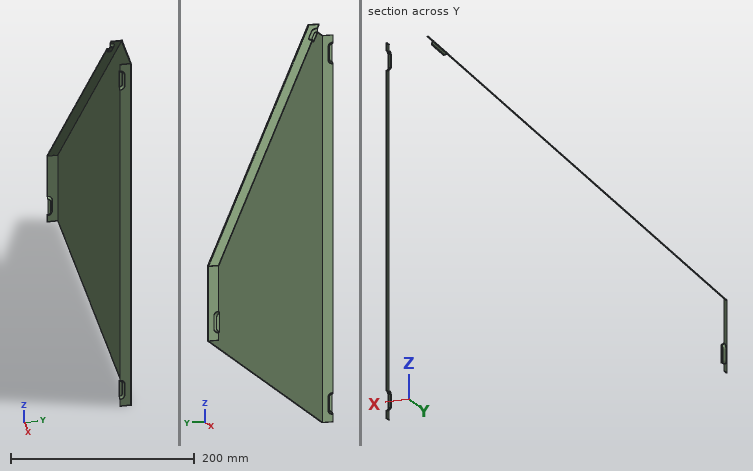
import cadquery as cq
import math

width = 400.0
height = 434.5
depth = 12.5
sheet = 1.0

left_edge_height = 84.0
slope_run = height - left_edge_height
slope_length = slope_run * math.sqrt(2)
top_edge_drop = 1.5

dimple_length = 24.5
dimple_reach = 5.5
dimple_depth = 3.5
dimple_taper = 30
dimple_end_gap = 8.3
dimple_offset = dimple_end_gap + dimple_length / 2


def outline_prism():
    """Solid bounded by the outer faces of the panel."""
    points = [
        (0, 0),
        (width, 0),
        (width, height - top_edge_drop),
        (slope_run + top_edge_drop, height - top_edge_drop),
        (slope_run, height),
        (0, left_edge_height),
    ]
    return cq.Workplane("XZ").polyline(points).close().extrude(depth)


def edge_plane(start, direction):
    """Plane on the back face: local x along the edge, y inward, z toward the free edge."""
    return cq.Plane(
        origin=(start[0], 0, start[1]),
        xDir=(direction[0], 0, direction[1]),
        normal=(0, -1, 0),
    )


def flange_inside(plane, length):
    """Space bounded by the inner faces of one flange and the plate."""
    corner = plane.toWorldCoords((length / 2, sheet, sheet))
    space_plane = cq.Plane(origin=corner, xDir=plane.xDir, normal=plane.zDir)
    return cq.Workplane(space_plane).box(
        length + 2 * height, 2 * width, depth, centered=(True, False, False)
    )


def dimple_block(plane, position, inset, start):
    """Round-ended block, centred on the free edge and tapering inward."""
    base_center = plane.toWorldCoords((position, start, depth))
    base = cq.Plane(origin=base_center, xDir=plane.xDir, normal=plane.yDir)
    return (
        cq.Workplane(base)
        .slot2D(dimple_length - 2 * inset, 2 * (dimple_reach - inset))
        .extrude(dimple_depth, taper=dimple_taper)
    )


diagonal = math.sqrt(0.5)
right_length = height - top_edge_drop
flanges = [
    ((width, 0), (0, 1), right_length, [dimple_offset, right_length - dimple_offset]),
    ((slope_run, height), (-diagonal, -diagonal), slope_length, [dimple_offset]),
    ((0, left_edge_height), (0, -1), left_edge_height, [left_edge_height - dimple_offset]),
]

cavity = outline_prism()
for start, direction, length, _ in flanges:
    cavity = cavity.intersect(flange_inside(edge_plane(start, direction), length))
panel = outline_prism().cut(cavity)

for start, direction, _, positions in flanges:
    plane = edge_plane(start, direction)
    for position in positions:
        skin = dimple_block(plane, position, 0, sheet).intersect(outline_prism())
        recess = dimple_block(plane, position, sheet / 2, 0)
        panel = panel.union(skin).cut(recess)

result = panel